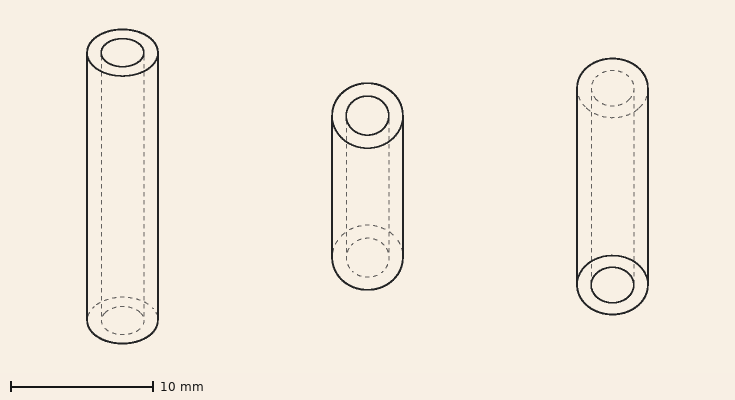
import cadquery as cq

length = 25.0
outer_diameter = 5.0
wall_thickness = 1.0
bore_diameter = outer_diameter - 2 * wall_thickness

result = (
    cq.Workplane("XY")
    .circle(outer_diameter / 2)
    .circle(bore_diameter / 2)
    .extrude(length)
)